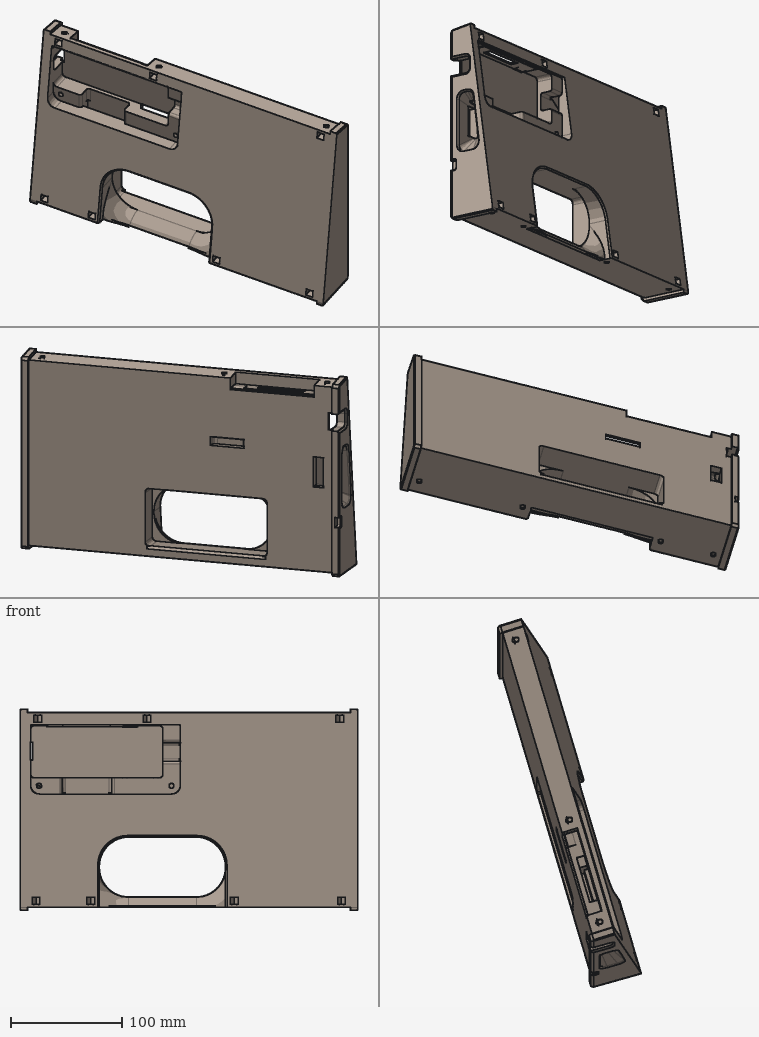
import cadquery as cq
import math


WIDTH = 304.1
HEIGHT = 181.25
DEPTH_BOTTOM = 46.83
DEPTH_TOP = 22.0
LIP = 2.9
LEAN = math.atan((DEPTH_BOTTOM - DEPTH_TOP) / (HEIGHT - LIP))
TOP_DROP = DEPTH_TOP * math.tan(LEAN)
PLATE_THICKNESS = 6.9
PLATE_EDGE = 1.0
PLATE_REAR_BEVEL = 2.2
REAR_CORNER = 2.6
BEVEL_STEP = 0.05
MARGIN = 5.0
OVERLAP = 1.0
BEVEL_ANGLE = 45.0

POCKET_LEFT = 9.5
POCKET_RIGHT = 144.3
POCKET_TOP = HEIGHT - 14.0
POCKET_BOTTOM = HEIGHT - 76.4
POCKET_LOWER_RADIUS = 8.0
POCKET_UPPER_RADIUS = 1.2
LEDGE_Y = -21.0
WELL_RIGHT = 128.6
WELL_TOP = HEIGHT - 14.9
WELL_BOTTOM = HEIGHT - 61.9
WELL_RADIUS = 3.5
WELL_FLOOR_Y = -4.7
LEDGE_HOLE_DIAMETER = 4.4
LEDGE_HOLE_DEPTH = 10.0
LEDGE_HOLE_XS = (17.1, 136.3)
LEDGE_HOLE_Z = HEIGHT - 69.0

CHANNEL_FLOOR_Y = -8.7
CHANNEL_EDGE_RADIUS = 2.4
LOWER_CHANNEL_X = (38.1, 82.3)
SIDE_CHANNEL_Z = (HEIGHT - 46.9, HEIGHT - 30.1)
PASSAGE_Y = (-17.2, CHANNEL_FLOOR_Y)
SIDE_PASSAGE_LENGTH = 25.0
LOWER_PASSAGE_DEPTH = 12.0

WINDOW_X = (92.0, 124.0)
WINDOW_DROP = 8.0
WINDOW_Y = -10.2
WINDOW_RADIUS = 4.0

TOP_NOTCH_X = (24.9, 104.8)
TOP_NOTCH_Y = -17.3
TOP_NOTCH_FLOOR = HEIGHT - 14.4
TOP_NOTCH_BEVEL = 1.9
TOP_SLOT_X = (38.3, 81.0)
TOP_SLOT_Y = (-17.0, -9.7)
BRIDGE_X = (24.0, 105.7)
BRIDGE_Z = HEIGHT - 15.8
RAMP_X = 92.7
RAMP_Y = -12.2
RAMP_FALL = TOP_NOTCH_BEVEL

SIDE_NOTCH_Z = (HEIGHT - 45.6, HEIGHT - 29.9)
SIDE_NOTCH_Y = -20.5
SIDE_NOTCH_LENGTH = 11.3
SIDE_NOTCH_RADIUS = 4.0
SIDE_NOTCH_FLARE = 1.8
SMALL_NOTCH_Z = (HEIGHT - 135.2, HEIGHT - 126.0)
SMALL_NOTCH_Y = -5.9
SMALL_NOTCH_LENGTH = 4.0
SMALL_NOTCH_RADIUS = 1.8
SMALL_NOTCH_FLARE = 1.0
SCOOP_Z = (HEIGHT - 118.5, HEIGHT - 63.5)
SCOOP_REAR_Y = -8.9
SCOOP_FRONT_GAP = 7.0
SCOOP_RADIUS = 6.0
SCOOP_FLARE = 1.5
SCOOP_LENGTH = 26.0
SCOOP_END_WIDTH = 3.0
SCOOP_END_RADIUS = 1.2
SCOOP_END_Z = (HEIGHT - 100.0, HEIGHT - 72.0)
SCOOP_EXIT_X = 16.0

HANDLE_LEFT = 71.4
HANDLE_RIGHT = 184.8
HANDLE_TOP = HEIGHT - 115.2
HANDLE_BOTTOM = HEIGHT - 169.0
HANDLE_RADIUS = 26.0
HANDLE_RIM = 1.5
GRIP_BEVEL_HEIGHT = 1.5
GRIP_BEVEL_DEPTH = 3.5
HANDLE_REAR_RADIUS = 4.0
HANDLE_REAR_BEVEL = 2.5
HANDLE_REAR_OVERHANG = 1.5
HANDLE_THROAT_Y = -22.4
GRIP_ROUND_RADIUS = 17.0
GRIP_LOWEST = GRIP_ROUND_RADIUS - (HANDLE_BOTTOM - LIP)
GRIP_FRONT_Y = HANDLE_THROAT_Y - math.sqrt(GRIP_ROUND_RADIUS**2 - GRIP_LOWEST**2)

SCREW_DIAMETER = 4.4
NUT_WIDTH = 7.0
NUT_HEIGHT = 6.2
NUT_INSET = 8.6
SCREW_SETBACK = 10.2
TOP_SCREW_XS = (15.9, 114.2, 287.8)
BOTTOM_SCREW_XS = (14.4, 63.7, 192.7, 289.3)


def front_y(z):
    """Y of the front face at height z; it stands upright up to LIP and leans back above."""
    return -DEPTH_BOTTOM + max(z - LIP, 0) * math.tan(LEAN)


def box(x, y, z):
    """Box between the two limits given along each axis."""
    size = (max(x) - min(x), max(y) - min(y), max(z) - min(z))
    return cq.Workplane("XY").box(*size, centered=False).translate((min(x), min(y), min(z)))


def wedge(x_start, length, inset):
    """Leaning slab whose rear, top and bottom are set back by inset; its front is the front face."""
    rear_top = HEIGHT - TOP_DROP - inset / math.cos(LEAN) + inset * math.tan(LEAN)
    front_top = HEIGHT - inset * math.cos(LEAN)
    points = [(-inset, inset), (-DEPTH_BOTTOM, inset)]
    if inset < LIP:
        points.append((-DEPTH_BOTTOM, LIP))
    points += [(front_y(front_top), front_top), (-inset, rear_top)]
    return cq.Workplane("YZ").polyline(points).close().extrude(length).translate((x_start, 0, 0))


def end_plate(x_start, outer_x):
    """End plate with bevelled outer rim at top, rear and bottom."""
    inward = PLATE_EDGE if outer_x == 0 else -PLATE_EDGE
    plate = wedge(x_start, PLATE_THICKNESS, 0)
    plate = plate.edges("|X and >Y").chamfer(REAR_CORNER)
    outer_face = "<X" if outer_x == 0 else ">X"
    plate = plate.faces(outer_face).edges(">Z or <Z").chamfer(PLATE_EDGE)
    rear_bevel = (
        cq.Workplane("XY")
        .polyline([(outer_x, 0), (outer_x + inward, 0), (outer_x, -PLATE_REAR_BEVEL)])
        .close()
        .extrude(HEIGHT)
    )
    return plate.cut(rear_bevel)


def make_body():
    """Leaning body with an end plate on each side."""
    body = wedge(PLATE_THICKNESS / 2, WIDTH - PLATE_THICKNESS, LIP)
    return body.union(end_plate(0, 0)).union(end_plate(WIDTH - PLATE_THICKNESS, WIDTH))


def make_pocket():
    """Shallow recess, deeper well and the two blind holes in the ledge between them."""
    recess = box((POCKET_LEFT, POCKET_RIGHT), (-DEPTH_BOTTOM, LEDGE_Y), (POCKET_BOTTOM, POCKET_TOP))
    recess = recess.edges("|Y and <Z").fillet(POCKET_LOWER_RADIUS)
    recess = recess.edges("|Y and >Z").fillet(POCKET_UPPER_RADIUS)
    well = box((POCKET_LEFT, WELL_RIGHT), (LEDGE_Y - OVERLAP, WELL_FLOOR_Y), (WELL_BOTTOM, WELL_TOP))
    well = well.edges("|Y").fillet(WELL_RADIUS)
    well = well.cut(box(BRIDGE_X, (LEDGE_Y - OVERLAP, 0), (BRIDGE_Z, HEIGHT)))
    holes = (
        cq.Workplane("XZ", origin=(0, LEDGE_Y + LEDGE_HOLE_DEPTH, 0))
        .pushPoints([(x, LEDGE_HOLE_Z) for x in LEDGE_HOLE_XS])
        .circle(LEDGE_HOLE_DIAMETER / 2)
        .extrude(LEDGE_HOLE_DEPTH + OVERLAP)
    )
    return recess.union(well).union(holes)


def channel_profile(plane, limits):
    """Channel section with rounded floor corners and rounded mouth edges; second axis runs along Y."""
    low, high = limits
    r = CHANNEL_EDGE_RADIUS
    k = r * math.sqrt(0.5)
    floor = CHANNEL_FLOOR_Y
    mouth = LEDGE_Y
    return (
        plane.moveTo(low - r, mouth)
        .threePointArc((low - r + k, mouth + r - k), (low, mouth + r))
        .lineTo(low, floor - r)
        .threePointArc((low + r - k, floor - r + k), (low + r, floor))
        .lineTo(high - r, floor)
        .threePointArc((high - r + k, floor - r + k), (high, floor - r))
        .lineTo(high, mouth + r)
        .threePointArc((high + r - k, mouth + r - k), (high + r, mouth))
        .close()
    )


def make_channels():
    """Channels across the ledge, the passages beyond them and the rear window."""
    lower_plane = cq.Workplane("XY", origin=(0, 0, POCKET_BOTTOM))
    lower = channel_profile(lower_plane, LOWER_CHANNEL_X).extrude(WELL_BOTTOM - POCKET_BOTTOM + OVERLAP)
    side_plane = cq.Workplane(cq.Plane((WELL_RIGHT - OVERLAP, 0, 0), (0, 0, 1), (-1, 0, 0)))
    side = channel_profile(side_plane, SIDE_CHANNEL_Z).extrude(WELL_RIGHT - OVERLAP - POCKET_RIGHT)
    window = box(WINDOW_X, (WINDOW_Y, MARGIN), (WELL_BOTTOM - WINDOW_DROP, WELL_BOTTOM))
    window = window.edges("|Z and <Y").fillet(WINDOW_RADIUS)
    low, high = SIDE_CHANNEL_Z
    side_passage = (
        cq.Workplane("XZ", origin=(POCKET_RIGHT, PASSAGE_Y[1], 0))
        .polyline([(-OVERLAP, low), (SIDE_PASSAGE_LENGTH, low), (0, high), (-OVERLAP, high)])
        .close()
        .extrude(PASSAGE_Y[1] - PASSAGE_Y[0])
    )
    passage_z = (POCKET_BOTTOM - LOWER_PASSAGE_DEPTH, POCKET_BOTTOM + OVERLAP)
    lower_passage = box(LOWER_CHANNEL_X, PASSAGE_Y, passage_z)
    return lower.union(side).union(side_passage).union(lower_passage).union(window)


def make_top_notch():
    """Notch in the top rear edge with a slot down into the well."""
    floor = TOP_NOTCH_FLOOR
    rear = -LIP
    notch = box(TOP_NOTCH_X, (TOP_NOTCH_Y, MARGIN), (floor, HEIGHT))
    start, end = TOP_NOTCH_X
    bevel = (
        cq.Workplane("YZ", origin=(start, 0, 0))
        .polyline([(rear - TOP_NOTCH_BEVEL, floor), (rear, floor - TOP_NOTCH_BEVEL), (rear, floor)])
        .close()
        .extrude(end - start)
    )
    ramp = (
        cq.Workplane("YZ", origin=(RAMP_X, 0, 0))
        .polyline([(RAMP_Y, floor), (rear, floor - RAMP_FALL), (rear, floor)])
        .close()
        .extrude(end - RAMP_X)
    )
    slot = box(TOP_SLOT_X, TOP_SLOT_Y, (BRIDGE_Z - OVERLAP, floor + OVERLAP))
    return notch.union(bevel).union(ramp).union(slot)


def flared_notch(y_inner, z, length, radius, flare):
    """Rear-open notch running inward from the left side, with a bevelled mouth."""
    low, high = z
    notch = box((0, length), (y_inner, MARGIN), z).edges("|X and <Y").fillet(radius)
    mouth = box((0, flare), (y_inner - flare, MARGIN), (low - flare, high + flare))
    mouth = mouth.edges("|X and <Y").fillet(radius + flare)
    bevel = mouth.faces(">X").edges("not >Y").chamfer(flare - BEVEL_STEP)
    return notch.union(bevel)


def make_side_notch():
    return flared_notch(SIDE_NOTCH_Y, SIDE_NOTCH_Z, SIDE_NOTCH_LENGTH, SIDE_NOTCH_RADIUS, SIDE_NOTCH_FLARE)


def make_small_notch():
    length = SMALL_NOTCH_LENGTH
    return flared_notch(SMALL_NOTCH_Y, SMALL_NOTCH_Z, length, SMALL_NOTCH_RADIUS, SMALL_NOTCH_FLARE)


def scoop_outline(y_front_low, y_front_high, z, radius, grow=0):
    """Rounded quadrilateral in Y and Z, widened by grow on every side."""
    low = z[0] - grow
    high = z[1] + grow
    rear = SCOOP_REAR_Y + grow
    corners = [(rear, low), (y_front_low - grow, low), (y_front_high - grow, high), (rear, high)]
    return cq.Sketch().polygon(corners + corners[:1]).vertices().fillet(radius + grow).reset()


def make_scoop():
    """Finger scoop that narrows inward and leaves through the rear face."""
    front = [front_y(z) + SCOOP_FRONT_GAP for z in SCOOP_Z]
    rim = scoop_outline(*front, SCOOP_Z, SCOOP_RADIUS, SCOOP_FLARE)
    throat = scoop_outline(*front, SCOOP_Z, SCOOP_RADIUS)
    end_front = SCOOP_REAR_Y - SCOOP_END_WIDTH
    end = scoop_outline(end_front, end_front, SCOOP_END_Z, SCOOP_END_RADIUS)
    throat_x = cq.Location(cq.Vector(0, 0, SCOOP_FLARE))
    end_x = cq.Location(cq.Vector(0, 0, SCOOP_LENGTH))
    mouth = cq.Workplane("YZ").placeSketch(rim, throat.moved(throat_x)).loft()
    scoop = cq.Workplane("YZ").placeSketch(throat.moved(throat_x), end.moved(end_x)).loft()
    rear_exit = box((SCOOP_EXIT_X, SCOOP_LENGTH), (SCOOP_REAR_Y - SCOOP_END_RADIUS, MARGIN), SCOOP_END_Z)
    return mouth.union(scoop).union(rear_exit)


def handle_arch():
    """Outline in X and Z of the handle recess, arched at the top and running out below the part."""
    left = HANDLE_LEFT
    right = HANDLE_RIGHT
    top = HANDLE_TOP
    radius = HANDLE_RADIUS
    return (
        cq.Workplane("XZ")
        .moveTo(left, -MARGIN)
        .lineTo(right, -MARGIN)
        .lineTo(right, top - radius)
        .radiusArc((right - radius, top), -radius)
        .lineTo(left + radius, top)
        .radiusArc((left, top - radius), -radius)
        .close()
    )


def grip_profile(plane):
    """Half section through the grip: first axis outward from the corner centre, second axis along Y."""
    inner = HANDLE_RADIUS
    bend = GRIP_ROUND_RADIUS
    diagonal = bend * math.sqrt(0.5)
    outer = inner + bend
    front = HANDLE_THROAT_Y - bend
    return (
        plane.moveTo(0, HANDLE_THROAT_Y)
        .lineTo(inner, HANDLE_THROAT_Y)
        .threePointArc((outer - diagonal, HANDLE_THROAT_Y - diagonal), (outer, front))
        .lineTo(2 * outer, front)
        .lineTo(2 * outer, -DEPTH_BOTTOM - MARGIN)
        .lineTo(0, -DEPTH_BOTTOM - MARGIN)
        .close()
    )


def make_handle():
    """Cuts for the carrying handle: rear opening, rounded grip and bevelled front rim."""
    rear = box(
        (HANDLE_LEFT - HANDLE_REAR_OVERHANG, HANDLE_RIGHT + HANDLE_REAR_OVERHANG),
        (HANDLE_THROAT_Y, MARGIN),
        (HANDLE_BOTTOM, HANDLE_TOP),
    ).edges("|Y").fillet(HANDLE_REAR_RADIUS)

    centre_z = HANDLE_BOTTOM + HANDLE_RADIUS
    centre_xs = (HANDLE_LEFT + HANDLE_RADIUS, HANDLE_RIGHT - HANDLE_RADIUS)
    straight_plane = cq.Workplane(cq.Plane((centre_xs[0], 0, centre_z), (0, 0, -1), (1, 0, 0)))
    grip = grip_profile(straight_plane).extrude(centre_xs[1] - centre_xs[0])
    for x in centre_xs:
        corner = grip_profile(cq.Workplane("XY", origin=(x, 0, centre_z))).revolve(360, (0, 0), (0, 1))
        grip = grip.union(corner)
    front = (-DEPTH_BOTTOM - MARGIN, HANDLE_THROAT_Y)
    grip = grip.union(box((HANDLE_LEFT, HANDLE_RIGHT), front, (centre_z, HANDLE_TOP)))
    arch = handle_arch().extrude(DEPTH_BOTTOM + MARGIN)
    grip = grip.intersect(arch)

    under_edge = (
        cq.Workplane("YZ", origin=(HANDLE_LEFT, 0, 0))
        .polyline([
            (GRIP_FRONT_Y, 0),
            (GRIP_FRONT_Y, LIP + GRIP_BEVEL_HEIGHT),
            (GRIP_FRONT_Y + GRIP_BEVEL_DEPTH, LIP),
            (GRIP_FRONT_Y + GRIP_BEVEL_DEPTH, 0),
        ])
        .close()
        .extrude(HANDLE_RIGHT - HANDLE_LEFT)
    )

    rear_edge = (
        cq.Workplane("YZ", origin=(HANDLE_LEFT, 0, 0))
        .polyline([
            (-LIP - HANDLE_REAR_BEVEL, HANDLE_BOTTOM),
            (-LIP, HANDLE_BOTTOM - HANDLE_REAR_BEVEL),
            (-LIP, HANDLE_BOTTOM),
        ])
        .close()
        .extrude(HANDLE_RIGHT - HANDLE_LEFT)
    )

    rim = handle_arch().extrude(2 * HANDLE_RIM, taper=-BEVEL_ANGLE).translate((0, HANDLE_RIM, 0))
    rim = rim.rotate((0, 0, HANDLE_TOP), (1, 0, HANDLE_TOP), -math.degrees(LEAN))
    rim = rim.translate((0, front_y(HANDLE_TOP), 0))
    return [rear, grip, under_edge, rear_edge, rim]


def nut_pocket(x, y, z):
    """Slot from the front face with a pointed end that holds a hexagon nut around (x, y)."""
    half = NUT_WIDTH / 2
    point = NUT_WIDTH / math.sqrt(3)
    shoulder = point / 2
    mouth = -DEPTH_BOTTOM
    points = [(-half, mouth), (half, mouth), (half, shoulder), (0, point), (-half, shoulder)]
    slot = cq.Workplane("XY").polyline(points).close().extrude(NUT_HEIGHT)
    return slot.translate((x, y, z - NUT_HEIGHT / 2))


def make_fastener(x, z, end_z):
    """Nut pocket at height z with a vertical screw hole running out to end_z."""
    y = front_y(z) + SCREW_SETBACK
    hole = cq.Workplane("XY", origin=(x, y, z)).circle(SCREW_DIAMETER / 2).extrude(end_z - z)
    return nut_pocket(x, y, z).union(hole)


result = make_body()
result = result.cut(make_pocket()).cut(make_channels()).cut(make_top_notch())
result = result.cut(make_side_notch()).cut(make_small_notch())
result = result.cut(make_scoop())
for handle_cut in make_handle():
    result = result.cut(handle_cut)
for screw_x in TOP_SCREW_XS:
    result = result.cut(make_fastener(screw_x, HEIGHT - NUT_INSET, HEIGHT))
for screw_x in BOTTOM_SCREW_XS:
    result = result.cut(make_fastener(screw_x, NUT_INSET, 0))